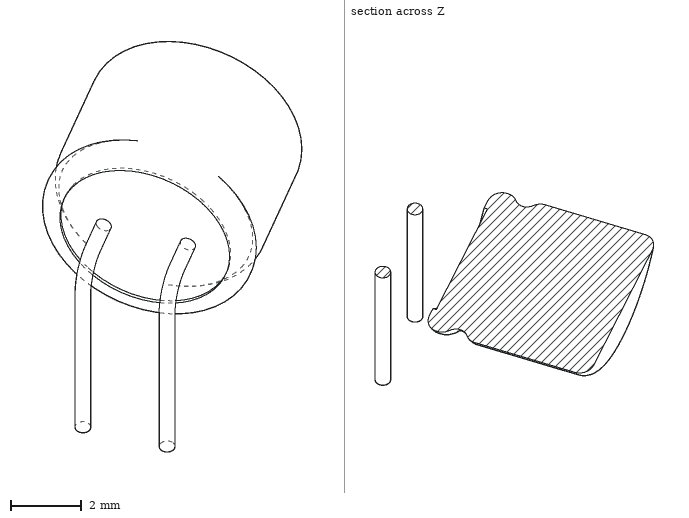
import cadquery as cq
import math

can_diameter = 6.3
can_length = 5.0
rim_radius = 0.4

groove_centre_y = 1.0
groove_depth = 0.25
groove_half_width = 0.56

seal_diameter = 5.04
seal_depth = 0.1

lead_diameter = 0.45
lead_pitch = 2.5
lead_straight_length = 0.9
lead_bend_radius = 0.9
lead_tip_z = -6.25

can_radius = can_diameter / 2

groove_angle = 2 * math.atan(groove_depth / groove_half_width)


def arc_point(centre, radius, angle):
    """Point (r, y) on an arc, with the angle measured from the radial direction."""
    return (centre[0] + radius * math.cos(angle), centre[1] + radius * math.sin(angle))


def make_can():
    """Revolve the half profile of the can, drawn as (r, y), around the Y axis."""
    shoulder_r = can_radius - rim_radius
    front_shoulder_y = groove_centre_y - groove_half_width
    rear_shoulder_y = groove_centre_y + groove_half_width
    front_rim = (shoulder_r, rim_radius)
    front_shoulder = (shoulder_r, front_shoulder_y)
    rear_shoulder = (shoulder_r, rear_shoulder_y)
    rear_rim = (shoulder_r, can_length - rim_radius)
    groove_floor = (can_radius - groove_depth, groove_centre_y)
    eighth_turn = math.pi / 4

    profile = (
        cq.Workplane("XY")
        .moveTo(0, 0)
        .lineTo(shoulder_r, 0)
        .threePointArc(arc_point(front_rim, rim_radius, -eighth_turn), (can_radius, rim_radius))
        .lineTo(can_radius, front_shoulder_y)
        .threePointArc(
            arc_point(front_shoulder, rim_radius, groove_angle / 2),
            arc_point(front_shoulder, rim_radius, groove_angle),
        )
        .threePointArc(groove_floor, arc_point(rear_shoulder, rim_radius, -groove_angle))
        .threePointArc(
            arc_point(rear_shoulder, rim_radius, -groove_angle / 2),
            (can_radius, rear_shoulder_y),
        )
        .lineTo(can_radius, can_length - rim_radius)
        .threePointArc(arc_point(rear_rim, rim_radius, eighth_turn), (shoulder_r, can_length))
        .lineTo(0, can_length)
        .close()
    )
    return profile.revolve(360, (0, 0), (0, 1))


def make_seal_recess():
    """Shallow round recess in the front face."""
    return cq.Workplane("XZ").circle(seal_diameter / 2).extrude(-seal_depth)


def make_lead(x):
    """One bent round lead, starting on the sealing face."""
    bend_start_y = -lead_straight_length
    bend_centre = (bend_start_y, -lead_bend_radius)
    diagonal = lead_bend_radius * math.sqrt(0.5)
    path = (
        cq.Workplane("YZ", origin=(x, 0, 0))
        .moveTo(seal_depth, 0)
        .lineTo(bend_start_y, 0)
        .threePointArc(
            (bend_centre[0] - diagonal, bend_centre[1] + diagonal),
            (bend_start_y - lead_bend_radius, -lead_bend_radius),
        )
        .lineTo(bend_start_y - lead_bend_radius, lead_tip_z)
    )
    section = cq.Workplane("XZ", origin=(x, seal_depth, 0)).circle(lead_diameter / 2)
    return section.sweep(path)


result = make_can().cut(make_seal_recess())
for side in (-1, 1):
    result = result.union(make_lead(side * lead_pitch / 2))